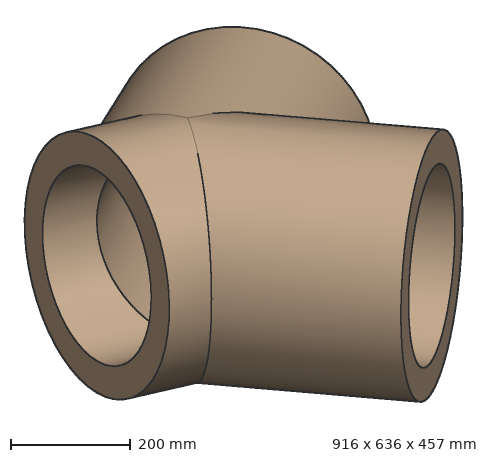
import cadquery as cq
import math

outer_diameter = 457.0
bore_diameter = 343.0
overall_width = 916.0
overall_depth = 636.0
arm_angle = 45.0

tilt = math.radians(arm_angle)
outer_radius = outer_diameter / 2
arm_length = (overall_width / 2 - outer_radius * math.cos(tilt)) / math.sin(tilt)
arm_reach = arm_length * math.cos(tilt) + outer_radius * math.sin(tilt)
leg_length = overall_depth - arm_reach

branches = [
    (cq.Vector(0, -1, 0), leg_length),
    (cq.Vector(-math.sin(tilt), math.cos(tilt), 0), arm_length),
    (cq.Vector(math.sin(tilt), math.cos(tilt), 0), arm_length),
]


def branched_cylinders(diameter):
    """Join one cylinder per branch, all starting at the common axis point."""
    body = cq.Workplane("XY")
    for direction, length in branches:
        cylinder = cq.Solid.makeCylinder(diameter / 2, length, cq.Vector(0, 0, 0), direction)
        body = body.union(cq.Workplane(cylinder))
    return body


result = branched_cylinders(outer_diameter).cut(branched_cylinders(bore_diameter))